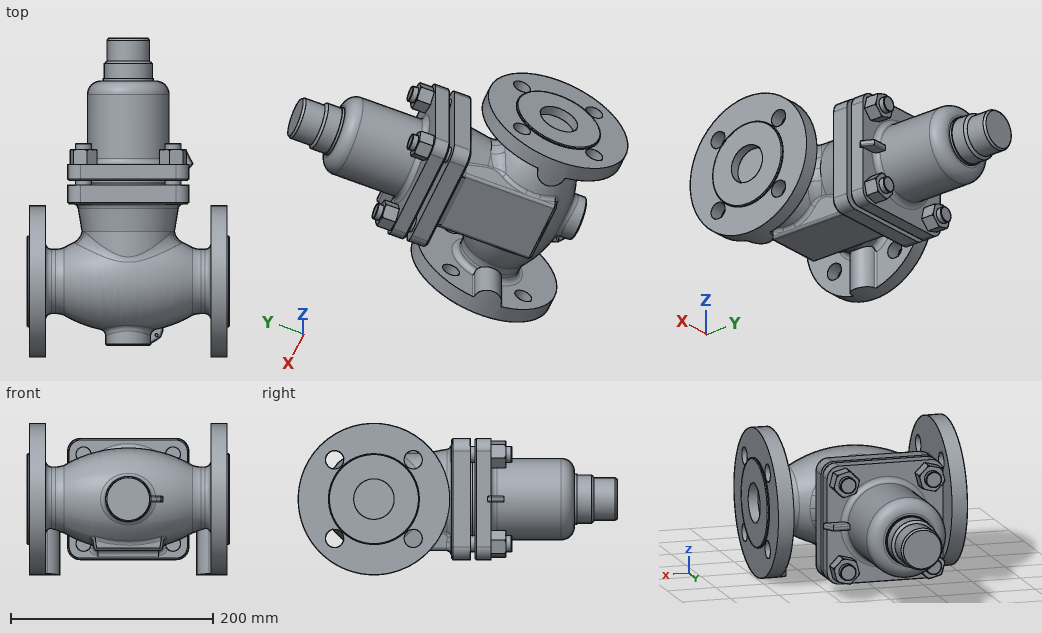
import cadquery as cq
import math


seam_margin = 0.3

face_to_face = 200.0
half_length = face_to_face / 2
flange_dia = 150.0
flange_thickness = 16.0
raised_face_height = 2.05
raised_face_dia = 90.0
raised_face_chamfer = 1.0
flange_face = half_length - raised_face_height
flange_back = flange_face - flange_thickness
flange_hole_dia = 18.0
flange_hole_pitch = 77.7
bore_dia = 40.0
bore_depth = 10.0

pipe_neck_radius = 32.0
pipe_neck_end = 72.0
belly_end = 63.5
belly_end_radius = 33.5
belly_radius = 50.5
flange_neck_fillet = 6.0

foot_radius = 14.2
foot_fillet = 2.0

plate_side = 120.0
plate_corner_radius = 12.5
plate_edge_chamfer = 1.5
body_plate_start = 76.8
body_plate_thickness = 18.5
body_plate_end = body_plate_start + body_plate_thickness
plate_gap = 4.5
bonnet_plate_start = body_plate_end + plate_gap
bonnet_plate_thickness = 16.0
bonnet_plate_end = bonnet_plate_start + bonnet_plate_thickness
spigot_step = 2.5
spigot_outer_radius = 45.8
spigot_inner_radius = 41.0

bonnet_neck_low = 49.5
bonnet_neck_low_radius = 45.8
bonnet_neck_top_radius = 50.2
bonnet_neck_fillet = 5.5
bonnet_belly_fillet = 14.2

rib_top_width = 82.2
rib_bottom_width = 67.0
rib_bottom = 51.0
rib_front = 26.2
rib_nose_chamfer = 2.5
rib_edge_fillet = 3.2
rib_belly_fillet = 4.7
rib_flare = 5.7
rib_flare_width = 60.0

stud_pitch = 88.5
stud_dia = 16.0
stud_top = 136.5
stud_tip_chamfer = 0.5
stud_tail_dia = 15.0
stud_tail_height = 0.5
nut_across_flats = 24.0
nut_height = 14.5
nut_chamfer = 1.0

housing_radius = 40.5
housing_end = 198.5
housing_dome_radius = 13.3
housing_base_fillet = 5.7
collar_radius = 25.0
collar_end = 201.0
cap_base_radius = 24.0
cap_base_end = 215.5
cap_radius = 21.2
cap_start = 218.0
cap_end = 240.95
cap_tip_radius = 19.5
cap_tip_chamfer = 2.5

boss_radius = 22.5
boss_end = 63.2
boss_chamfer = 1.3
boss_fillet = 6.3

lug_thickness = 6.0
lug_edge_fillet = 1.5
lug_hole_dia = 2.6
lug_hole_x = 28.0
lug_hole_y = -53.0
boss_lug_outline = [
    (19.0, -38.0),
    (19.0, -60.0),
    (22.5, -61.3),
    (27.8, -58.0),
    (32.2, -54.7),
    (34.0, -49.3),
    (35.5, -38.0),
]
bonnet_lug_outline = [
    (38.0, 113.8),
    (38.0, 129.0),
    (57.5, 129.0),
    (64.0, 116.3),
    (60.7, 112.5),
    (58.5, 112.5),
]


def cylinder_x(radius, start, end):
    return cq.Workplane("YZ").workplane(offset=start).circle(radius).extrude(end - start)


def cylinder_y(radius, start, end):
    return cq.Workplane("XZ").workplane(offset=-start).circle(radius).extrude(start - end)


def profile_about_y(points):
    """Turn a closed XY outline about the Y axis."""
    return cq.Workplane("XY").polyline(points).close().revolve(360, (0, 0, 0), (0, 1, 0))


def round_edges_between(solid, axis, start, end, reach, fillet_radius):
    """Fillet the edges lying within reach of an axis, X or Y, and between start and end along it."""
    if axis == "X":
        corners = (start, -reach, -reach), (end, reach, reach)
    else:
        corners = (-reach, start, -reach), (reach, end, reach)
    edges = solid.edges(cq.selectors.BoxSelector(*corners, boundingbox=True))
    return edges.fillet(fillet_radius)


def make_belly():
    """Barrel-shaped body with a concave run-out into a pipe neck at each end, turned about X."""
    middle = (pipe_neck_end + belly_end) / 2
    middle_radius = pipe_neck_radius + (belly_end_radius - pipe_neck_radius) / 4
    return (
        cq.Workplane("XY")
        .moveTo(-flange_back, 0)
        .lineTo(-flange_back, pipe_neck_radius)
        .lineTo(-pipe_neck_end, pipe_neck_radius)
        .threePointArc((-middle, middle_radius), (-belly_end, belly_end_radius))
        .threePointArc((0, belly_radius), (belly_end, belly_end_radius))
        .threePointArc((middle, middle_radius), (pipe_neck_end, pipe_neck_radius))
        .lineTo(flange_back, pipe_neck_radius)
        .lineTo(flange_back, 0)
        .close()
        .revolve(360, (0, 0, 0), (1, 0, 0))
    )


def make_bonnet_neck():
    """Neck that widens from the belly towards the body plate."""
    return profile_about_y([
        (0, 0),
        (bonnet_neck_low_radius, 0),
        (bonnet_neck_low_radius, bonnet_neck_low),
        (bonnet_neck_top_radius, body_plate_start),
        (0, body_plate_start),
    ])


def make_square_plate(start, thickness):
    plate = (
        cq.Workplane("XZ")
        .workplane(offset=-start)
        .rect(plate_side, plate_side)
        .extrude(-thickness)
        .edges("|Y")
        .fillet(plate_corner_radius)
    )
    return plate.faces("<Y").edges().chamfer(plate_edge_chamfer)


def make_body():
    """Belly, drain boss, bonnet neck and body plate, blended into one another."""
    boss = cylinder_y(boss_radius, -boss_end, 0)
    boss = boss.faces("<Y").edges().chamfer(boss_chamfer)
    body = make_belly().union(make_bonnet_neck()).union(boss)
    body = round_edges_between(
        body, "Y", seam_margin, bonnet_neck_low - seam_margin,
        belly_radius, bonnet_belly_fillet,
    )
    body = round_edges_between(body, "Y", -belly_radius, -boss_radius, belly_radius, boss_fillet)
    body = body.union(make_square_plate(body_plate_start, body_plate_thickness))
    return round_edges_between(
        body, "Y", body_plate_start - seam_margin, body_plate_start + seam_margin,
        bonnet_neck_top_radius + seam_margin, bonnet_neck_fillet,
    )


def make_rib():
    """Tapered rib beneath the belly, with a chamfered nose and a flare into the body plate."""
    rib = (
        cq.Workplane("XZ")
        .workplane(offset=-body_plate_start)
        .moveTo(-rib_top_width / 2, 0)
        .lineTo(rib_top_width / 2, 0)
        .lineTo(rib_bottom_width / 2, -rib_bottom)
        .lineTo(-rib_bottom_width / 2, -rib_bottom)
        .close()
        .extrude(body_plate_start + rib_front)
    )
    rib = rib.faces("<Z").edges("|Y").fillet(rib_edge_fillet)
    rib = rib.faces("<Z").edges("<Y").chamfer(rib_nose_chamfer)
    flare = (
        cq.Workplane("YZ")
        .workplane(offset=-rib_flare_width / 2)
        .moveTo(body_plate_start, -rib_bottom)
        .lineTo(body_plate_start - rib_flare, -rib_bottom)
        .radiusArc((body_plate_start, -rib_bottom - rib_flare), rib_flare)
        .close()
        .extrude(rib_flare_width)
    )
    return rib.union(flare)


def add_rib(body):
    """Join the rib to the body and round the curved seam between them."""
    body = body.union(make_rib())
    low_corner = (-rib_top_width / 2, -rib_front - seam_margin, -rib_bottom + rib_edge_fillet / 2)
    high_corner = (rib_top_width / 2, body_plate_start + seam_margin, -rib_bottom / 3)
    seam = body.edges(cq.selectors.BoxSelector(low_corner, high_corner, boundingbox=True))
    return seam.edges("%BSPLINE or %HYPERBOLA").fillet(rib_belly_fillet)


def make_pipe_flange():
    """Flange at the +X end with raised face, neck fillet, foot, bore and four bolt holes."""
    rim = cylinder_x(flange_dia / 2, flange_back, flange_face)
    neck = cylinder_x(pipe_neck_radius, pipe_neck_end, flange_back)
    flange = round_edges_between(
        rim.union(neck), "X", flange_back - seam_margin, flange_back + seam_margin,
        pipe_neck_radius + seam_margin, flange_neck_fillet,
    )
    foot = cq.Workplane("XY").center(flange_back, 0).circle(foot_radius).extrude(-flange_dia / 2)
    foot = foot.intersect(cylinder_x(flange_dia / 2, flange_back - foot_radius, flange_face))
    flange = flange.union(rim.union(foot).edges("|Z").fillet(foot_fillet))
    raised_face = cylinder_x(raised_face_dia / 2, flange_face, half_length)
    raised_face = raised_face.faces(">X").edges().chamfer(raised_face_chamfer)
    bolt_holes = (
        cq.Workplane("YZ")
        .workplane(offset=flange_back)
        .rect(flange_hole_pitch, flange_hole_pitch, forConstruction=True)
        .vertices()
        .circle(flange_hole_dia / 2)
        .extrude(flange_thickness)
    )
    bore = cylinder_x(bore_dia / 2, half_length - bore_depth, half_length)
    return flange.union(raised_face).cut(bolt_holes).cut(bore)


def make_bonnet():
    """Bonnet plate with its spigot, domed spring housing and stepped cap."""
    housing = cylinder_y(housing_radius, bonnet_plate_end, housing_end)
    housing = housing.faces(">Y").edges().fillet(housing_dome_radius)
    bonnet = make_square_plate(bonnet_plate_start, bonnet_plate_thickness).union(housing)
    bonnet = round_edges_between(
        bonnet, "Y", bonnet_plate_end - seam_margin, bonnet_plate_end + seam_margin,
        housing_radius + seam_margin, housing_base_fillet,
    )
    cap = profile_about_y([
        (0, housing_end),
        (collar_radius, housing_end),
        (collar_radius, collar_end),
        (cap_base_radius, collar_end),
        (cap_base_radius, cap_base_end),
        (cap_radius, cap_start),
        (cap_radius, cap_end - cap_tip_chamfer),
        (cap_tip_radius, cap_end),
        (0, cap_end),
    ])
    step = bonnet_plate_start - spigot_step
    spigot = profile_about_y([
        (0, body_plate_end),
        (spigot_inner_radius, body_plate_end),
        (spigot_inner_radius, step),
        (spigot_outer_radius, step),
        (spigot_outer_radius, bonnet_plate_start),
        (0, bonnet_plate_start),
    ])
    return bonnet.union(cap).union(spigot)


def make_stud_and_nut():
    """Stud through both plates with its nut, a corner of the hexagon pointing along +X."""
    stud = cylinder_y(stud_dia / 2, body_plate_start, stud_top)
    stud = stud.faces(">Y").edges().chamfer(stud_tip_chamfer)
    tail = cylinder_y(stud_tail_dia / 2, body_plate_start - stud_tail_height, body_plate_start)
    across_corners = nut_across_flats / math.cos(math.radians(30))
    nut_end = bonnet_plate_end + nut_height
    nut = (
        cq.Workplane("XZ")
        .workplane(offset=-bonnet_plate_end)
        .polygon(6, across_corners)
        .extrude(-nut_height)
    )
    rounding = cylinder_y(across_corners / 2, bonnet_plate_end, nut_end)
    rounding = rounding.faces(">Y").edges().chamfer(nut_chamfer)
    return stud.union(tail).union(nut.intersect(rounding))


def make_lug(outline):
    """Thin lug with rounded edges, centred on the XY plane and cut to the given outline."""
    lug = (
        cq.Workplane("XY")
        .workplane(offset=-lug_thickness / 2)
        .polyline(outline)
        .close()
        .extrude(lug_thickness)
    )
    return lug.faces("|Z").edges().fillet(lug_edge_fillet)


def make_boss_lug():
    """Lug between the drain boss and the belly, with a hole for a sealing wire."""
    lug = make_lug(boss_lug_outline)
    hole = cq.Workplane("XY").center(lug_hole_x, lug_hole_y).circle(lug_hole_dia / 2)
    return lug.cut(hole.extrude(lug_thickness, both=True))


valve = add_rib(make_body())

pipe_flange = make_pipe_flange()
valve = valve.union(pipe_flange).union(pipe_flange.mirror("YZ"))

valve = valve.union(make_bonnet())

stud_circle_radius = stud_pitch / math.sqrt(2)
first_stud = make_stud_and_nut().translate((stud_circle_radius, 0, 0))
for corner_angle in (45, 135, 225, 315):
    valve = valve.union(first_stud.rotate((0, 0, 0), (0, 1, 0), corner_angle))

valve = valve.union(make_boss_lug()).union(make_lug(bonnet_lug_outline))

result = valve